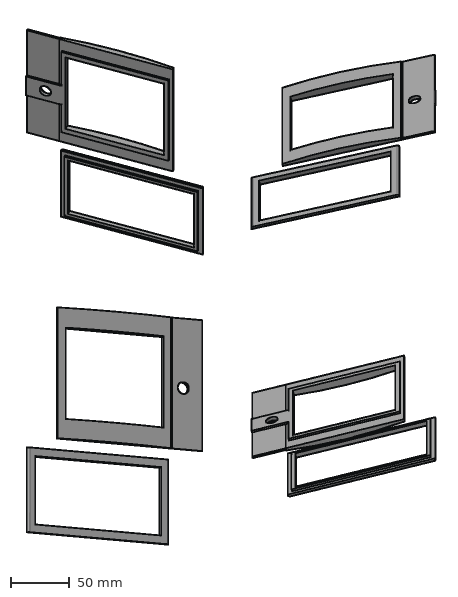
import cadquery as cq

total_depth = 7.3
plate_front = 2.0

panel_width = 134.5
panel_top = 198.0
panel_height = 114.0
panel_bottom = panel_top - panel_height
panel_center_z = panel_top - panel_height / 2
panel_rim_front = 0.2
sheet_back = 3.8
groove_left = 28.1
groove_bottom = 2.8
sheet_edge_radius = 1.0
arch_left = 29.7
arch_edge_back = 4.4
rim_left = 32.7
rim_right = 131.3
rim_height = 89.5
window_left = 36.5
window_right = 127.1
window_height = 79.5
tab_height = 21.0
tab_center_z = 137.5
hole_x = 17.8
hole_diameter = 10.3

frame_left = 31.5
frame_width = 130.7
frame_height = 73.9
frame_back = 4.4
frame_rim_inset = 4.0
frame_window_inset = 7.1
frame_edge_radius = 1.8


def block(left, right, bottom, top, front, back):
    """Box given by its limits along X, Z and Y."""
    size = (right - left, back - front, top - bottom)
    return cq.Workplane("XY").box(*size, centered=False).translate((left, front, bottom))


def centered_block(left, right, center_z, height, front, back):
    """Box whose height is centered on a given Z."""
    return block(left, right, center_z - height / 2, center_z + height / 2, front, back)


def panel_plate():
    """Flat strip, sloped groove and arched back, extruded along Z."""
    arch_middle = (arch_left + panel_width) / 2
    return (
        cq.Workplane("XY")
        .moveTo(0, plate_front)
        .lineTo(panel_width, plate_front)
        .lineTo(panel_width, arch_edge_back)
        .threePointArc((arch_middle, total_depth), (arch_left, arch_edge_back))
        .lineTo(arch_left, groove_bottom)
        .lineTo(groove_left, sheet_back)
        .lineTo(0, sheet_back)
        .close()
        .extrude(panel_height)
        .translate((0, 0, panel_bottom))
        .edges("<X")
        .edges(">Y")
        .fillet(sheet_edge_radius)
    )


def make_panel():
    """Arched plate with a raised window rim and a drilled tab."""
    rim = centered_block(rim_left, rim_right, panel_center_z, rim_height, panel_rim_front, plate_front)
    tab = centered_block(0, rim_left, tab_center_z, tab_height, panel_rim_front, plate_front)
    window = centered_block(
        window_left, window_right, panel_center_z, window_height, 0, total_depth
    )
    hole = (
        cq.Workplane("XZ", origin=(hole_x, 0, tab_center_z))
        .circle(hole_diameter / 2)
        .extrude(-total_depth)
    )
    return panel_plate().union(rim).union(tab).cut(window).cut(hole)


def inset_block(inset, front, back):
    """Box set in by the same distance from all four sides of the frame."""
    right = frame_left + frame_width - inset
    return block(frame_left + inset, right, inset, frame_height - inset, front, back)


def make_frame():
    """Flat flange with a raised rim around an open window."""
    flange = inset_block(0, plate_front, frame_back).edges(">Y and |Z").fillet(frame_edge_radius)
    rim = inset_block(frame_rim_inset, 0, plate_front)
    window = inset_block(frame_window_inset, 0, frame_back)
    return flange.union(rim).cut(window)


panel = make_panel()
frame = make_frame()
result = cq.Compound.makeCompound([panel.val(), frame.val()])